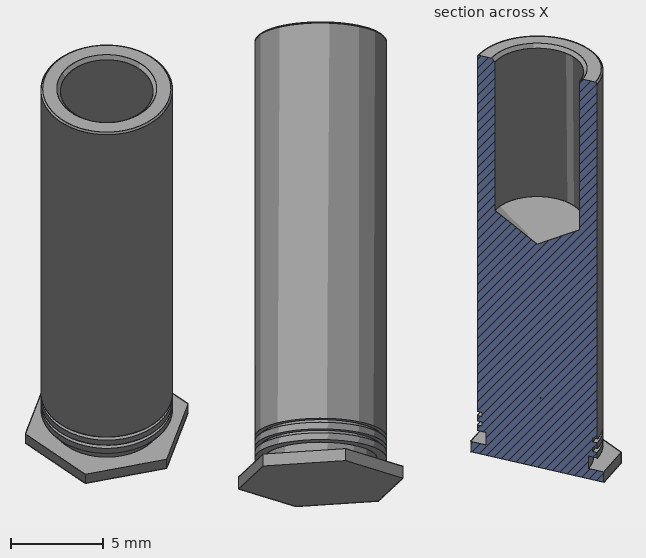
import cadquery as cq
import math

total_height = 25.0
body_diameter = 7.12

head_across_flats = 7.9
head_thickness = 0.68
head_across_corners = head_across_flats / math.cos(math.pi / 6)

neck_diameter = 6.1
neck_height = 0.75
groove_diameter = 6.6
groove_height = 0.22
ring_height = 0.38
groove_count = 2

bore_diameter = 5.0
bore_depth = 9.5
drill_point_angle = 118.0
bore_mouth_chamfer = 0.2
rim_chamfer = 0.1


def cylinder(diameter, bottom, height):
    return cq.Workplane("XY").workplane(offset=bottom).circle(diameter / 2).extrude(height)


def make_head():
    return cq.Workplane("XY").polygon(6, head_across_corners).extrude(head_thickness)


def make_shank():
    """Neck, grooved rings and plain barrel with a chamfered top rim."""
    neck = cylinder(neck_diameter, head_thickness, neck_height)
    ring_bottom = head_thickness + neck_height
    barrel = cylinder(body_diameter, ring_bottom, total_height - ring_bottom)
    barrel = barrel.faces(">Z").edges().chamfer(rim_chamfer)

    for index in range(groove_count):
        groove_bottom = ring_bottom + ring_height + index * (ring_height + groove_height)
        sleeve = cylinder(body_diameter, groove_bottom, groove_height)
        core = cylinder(groove_diameter, groove_bottom, groove_height)
        barrel = barrel.cut(sleeve.cut(core))
    return neck.union(barrel)


def make_bore():
    """Bore with a countersunk mouth and a conical drill point, revolved about Z."""
    bore_radius = bore_diameter / 2
    bore_bottom = total_height - bore_depth
    point_depth = bore_radius / math.tan(math.radians(drill_point_angle / 2))
    return (
        cq.Workplane("XZ")
        .moveTo(0, total_height)
        .lineTo(bore_radius + bore_mouth_chamfer, total_height)
        .lineTo(bore_radius, total_height - bore_mouth_chamfer)
        .lineTo(bore_radius, bore_bottom)
        .lineTo(0, bore_bottom - point_depth)
        .close()
        .revolve(360, (0, 0), (0, 1))
    )


result = make_head().union(make_shank()).cut(make_bore())